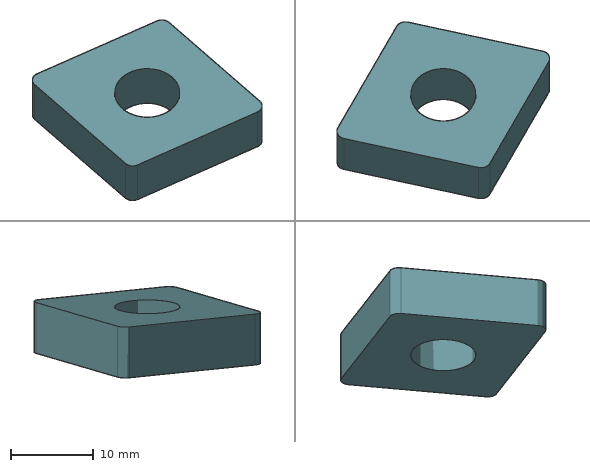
import cadquery as cq
import math

length = 22.25
thickness = 6.35
acute_angle = math.radians(80)
corner_radius = 1.18
hole_diameter = 7.92

corner_loss = corner_radius * (1 / math.tan(acute_angle / 2) - 1)
side = (length + 2 * corner_loss) / (1 + math.cos(acute_angle))
width = side * math.sin(acute_angle)
lean = side * math.cos(acute_angle)

corners = [
    (-(side + lean) / 2, -width / 2),
    ((side - lean) / 2, -width / 2),
    ((side + lean) / 2, width / 2),
    (-(side - lean) / 2, width / 2),
]

body = cq.Workplane("XY").polyline(corners).close().extrude(thickness)
body = body.edges("|Z").fillet(corner_radius)

result = body.faces(">Z").workplane(origin=(0, 0, thickness)).hole(hole_diameter)